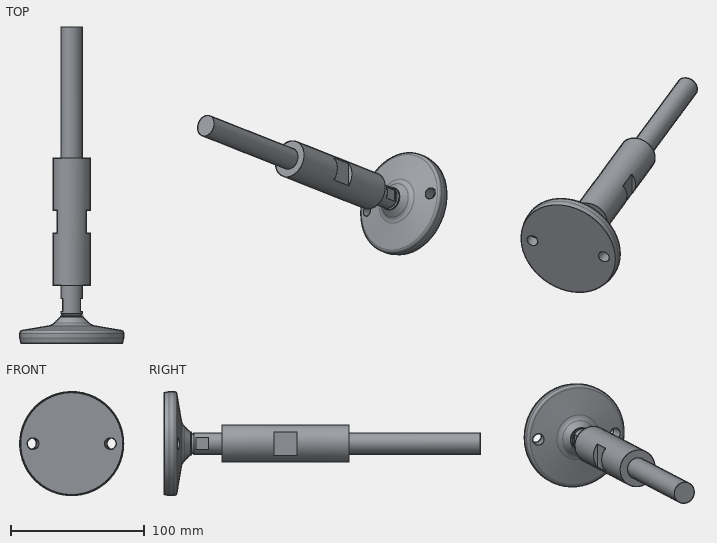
import cadquery as cq
import math

total_length = 237.0

foot_radius = 78.0 / 2
base_radius = 38.2
rim_bottom = 3.8
rim_top = 7.3
shoulder_radius = 37.0
shoulder_height = 9.7
hub_radius = 14.7
hub_base_height = 13.5
hub_lip_radius = 8.5
hub_top = 20.6
hub_band_height = 15.2
mount_hole_diameter = 8.5
mount_hole_offset = 29.0

stud_radius = 16.0 / 2
neck_radius = 6.6
stud_shoulder = 22.3
ball_radius = 7.0
stud_flat_width = 13.5
stud_flat_start = 24.0
stud_flat_length = 9.5

sleeve_radius = 28.0 / 2
sleeve_start = 43.4
sleeve_length = 95.3
sleeve_flat_width = 21.8
sleeve_flat_length = 17.0

hub_lip_base = hub_base_height + hub_radius - hub_lip_radius
upper_face_slope = math.atan2(hub_base_height - shoulder_height, shoulder_radius - hub_radius)

ball_center = hub_top - math.sqrt(ball_radius**2 - neck_radius**2)


def cylinder(radius, start, length):
    """Cylinder on the Y axis, running from start toward +Y."""
    return cq.Workplane(cq.Solid.makeCylinder(radius, length, cq.Vector(0, start, 0), cq.Vector(0, 1, 0)))


def revolve_profile(profile):
    """Turn a closed XY profile around the Y axis."""
    return profile.close().revolve(360, (0, 0, 0), (0, 1, 0))


def cut_wrench_flats(body, body_radius, flat_width, start, length):
    """Cut two opposite flats, facing -X and +X, into a round body."""
    depth = body_radius - flat_width / 2
    for side in (-1, 1):
        cutter = cq.Workplane("XY").box(2 * depth, length, 2 * body_radius)
        body = body.cut(cutter.translate((side * body_radius, start + length / 2, 0)))
    return body


def mount_hole(side):
    """Through-hole square to the sloping upper face of the foot."""
    direction = cq.Vector(side * math.sin(upper_face_slope), math.cos(upper_face_slope), 0)
    entry = cq.Vector(side * mount_hole_offset, 0, 0)
    start = entry - direction * hub_top
    return cq.Solid.makeCylinder(mount_hole_diameter / 2, 2 * hub_top, start, direction)


def make_foot():
    hub_fillet_radius = hub_radius - (hub_band_height - hub_base_height)
    fillet_setback = math.hypot(hub_radius - hub_fillet_radius, hub_band_height - hub_base_height)
    fillet_end = (
        hub_radius + fillet_setback * math.cos(upper_face_slope),
        hub_base_height - fillet_setback * math.sin(upper_face_slope),
    )
    shoulder_mid = (
        shoulder_radius + math.sqrt(0.5) * (foot_radius - shoulder_radius),
        rim_top + math.sqrt(0.5) * (shoulder_height - rim_top),
    )
    foot = revolve_profile(
        cq.Workplane("XY")
        .lineTo(base_radius, 0)
        .lineTo(foot_radius, rim_bottom)
        .lineTo(foot_radius, rim_top)
        .threePointArc(shoulder_mid, (shoulder_radius, shoulder_height))
        .lineTo(*fillet_end)
        .tangentArcPoint((hub_fillet_radius, hub_band_height), relative=False)
        .lineTo(hub_lip_radius, hub_lip_base)
        .lineTo(hub_lip_radius, hub_top)
        .lineTo(neck_radius, hub_top)
        .threePointArc((ball_radius, ball_center), (0, ball_center - ball_radius))
    )
    for side in (-1, 1):
        foot = foot.cut(cq.Workplane(mount_hole(side)))
    return foot


def make_stud():
    stud = revolve_profile(
        cq.Workplane("XY")
        .moveTo(0, ball_center - ball_radius)
        .threePointArc((ball_radius, ball_center), (neck_radius, hub_top))
        .lineTo(stud_radius, stud_shoulder)
        .lineTo(stud_radius, total_length)
        .lineTo(0, total_length)
    )
    return cut_wrench_flats(stud, stud_radius, stud_flat_width, stud_flat_start, stud_flat_length)


def make_sleeve():
    sleeve = cylinder(sleeve_radius, sleeve_start, sleeve_length)
    sleeve = sleeve.cut(cylinder(stud_radius, sleeve_start, sleeve_length))
    flat_start = sleeve_start + (sleeve_length - sleeve_flat_length) / 2
    return cut_wrench_flats(sleeve, sleeve_radius, sleeve_flat_width, flat_start, sleeve_flat_length)


foot = make_foot()
stud = make_stud()
sleeve = make_sleeve()

result = cq.Compound.makeCompound([*foot.solids().vals(), *stud.solids().vals(), *sleeve.solids().vals()])